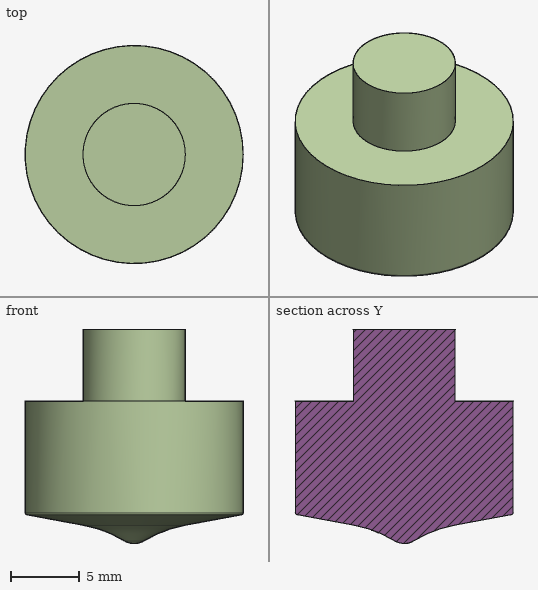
import cadquery as cq
import math

body_radius = 8.0
body_top = 10.45
stem_radius = 7.5 / 2
total_height = 15.71

rim_radius = 0.16
cone_angle = math.radians(10.5)
cone_inner_radius = 3.71
cone_inner_height = 1.35
tip_edge_radius = 0.7
tip_edge_height = 0.2

rim_center_radius = body_radius - rim_radius
rim_end_radius = rim_center_radius + rim_radius * math.sin(cone_angle)
rim_end_height = cone_inner_height + (rim_end_radius - cone_inner_radius) * math.tan(cone_angle)
wall_bottom = rim_end_height + rim_radius * math.cos(cone_angle)
rim_middle_angle = (cone_angle - math.pi / 2) / 2
rim_middle = (
    rim_center_radius + rim_radius * math.cos(rim_middle_angle),
    wall_bottom + rim_radius * math.sin(rim_middle_angle),
)

sphere_radius = (tip_edge_radius**2 + tip_edge_height**2) / (2 * tip_edge_height)
tip_middle_angle = math.asin(tip_edge_radius / sphere_radius) / 2
tip_middle = (
    sphere_radius * math.sin(tip_middle_angle),
    sphere_radius * (1 - math.cos(tip_middle_angle)),
)

profile = (
    cq.Workplane("XZ")
    .moveTo(0, total_height)
    .lineTo(stem_radius, total_height)
    .lineTo(stem_radius, body_top)
    .lineTo(body_radius, body_top)
    .lineTo(body_radius, wall_bottom)
    .threePointArc(rim_middle, (rim_end_radius, rim_end_height))
    .lineTo(cone_inner_radius, cone_inner_height)
    .tangentArcPoint((tip_edge_radius, tip_edge_height), relative=False)
    .threePointArc(tip_middle, (0, 0))
    .close()
)

result = profile.revolve(360, (0, 0, 0), (0, 1, 0))